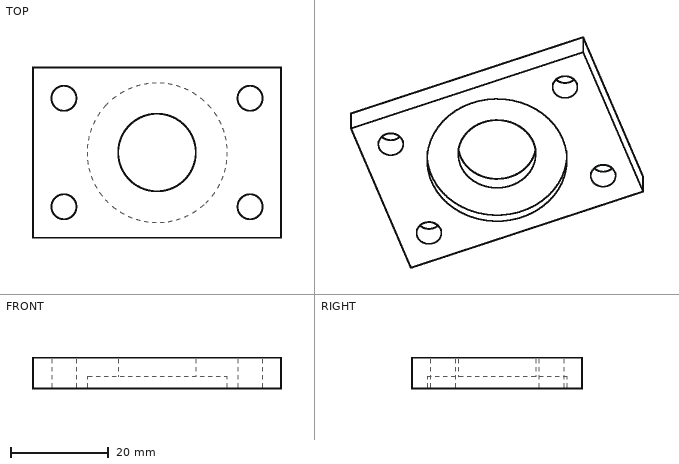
import cadquery as cq

length = 50.8
width = 34.9
thickness = 6.35

bore_diameter = 15.85
recess_diameter = 28.65
recess_depth = 2.55

mount_hole_diameter = 5.1
mount_hole_inset = 6.35
mount_spacing_x = length - 2 * mount_hole_inset
mount_spacing_y = width - 2 * mount_hole_inset

plate = cq.Workplane("XY").box(length, width, thickness)

bored_plate = (
    plate.faces("<Z")
    .workplane()
    .cboreHole(bore_diameter, recess_diameter, recess_depth)
)

result = (
    bored_plate.faces(">Z")
    .workplane(origin=(0, 0, 0))
    .rect(mount_spacing_x, mount_spacing_y, forConstruction=True)
    .vertices()
    .hole(mount_hole_diameter)
)